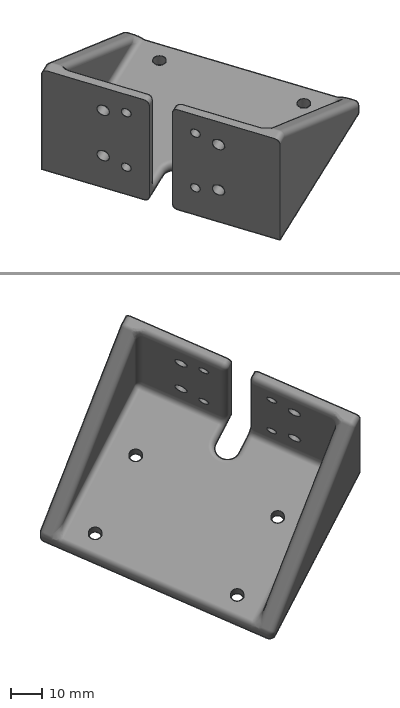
import cadquery as cq

length = 82.5
depth = 65.0
height = 44.0

plate = 4.0
side_wall = 6.0
edge_radius = 2.0
slot_lower_radius = 1.9

slot_width = 8.0
slot_centre_y = 11.55

large_hole = 4.3
small_hole = 3.4
floor_hole_x = 25.0
floor_hole_rows = (27.0, 57.0)
large_hole_x = 20.0
large_hole_rows = (14.0, 34.0)
small_hole_x = 12.0
small_hole_rows = (12.0, 36.0)

tolerance = 0.1
slot_half = slot_width / 2
inner_half = length / 2 - side_wall


def bracket_body():
    """Wedge with sloping sides, hollowed behind the front wall and above the floor."""
    wedge = (
        cq.Workplane("YZ", origin=(-length / 2, 0, 0))
        .polyline([(0, 0), (depth, 0), (depth, plate), (plate, height), (0, height)])
        .close()
        .extrude(length)
    )
    cavity = cq.Workplane("XY").box(
        2 * inner_half, depth, height, centered=(True, False, False)
    ).translate((0, plate, plate))
    return wedge.cut(cavity)


def cable_slot():
    """Round-ended slot through the front wall and the floor."""
    straight = cq.Workplane("XY").box(
        slot_width, slot_centre_y, height, centered=(True, False, False)
    )
    round_end = cq.Workplane("XY").center(0, slot_centre_y).circle(slot_half).extrude(height)
    return straight.union(round_end)


def hole_pairs(plane, x, rows, diameter, reach):
    """Mirrored pairs of holes, one pair on each row."""
    points = [(side * x, row) for side in (-1, 1) for row in rows]
    return cq.Workplane(plane).pushPoints(points).circle(diameter / 2).extrude(reach)


def is_rounded(edge):
    """True for edges off the flat front and base, except the tangent seams inside the slot."""
    middle = edge.Center()
    on_front = middle.y < tolerance
    on_base = middle.z < tolerance
    at_round_start = abs(middle.y - slot_centre_y) < tolerance
    on_slot_side = abs(abs(middle.x) - slot_half) < tolerance
    slot_seam = at_round_start and on_slot_side
    return not (on_front or on_base or slot_seam)


def slot_lower_rim(shape):
    """Edges of the slot where it opens through the base."""
    rim_region = cq.selectors.BoxSelector(
        (-slot_half - tolerance, -tolerance, -tolerance),
        (slot_half + tolerance, slot_centre_y + slot_width, tolerance),
    )
    return shape.edges(rim_region)


body = bracket_body().cut(cable_slot())
rounded_edges = body.edges().filter(is_rounded).sort(lambda edge: edge.Center().x)
body = rounded_edges.fillet(edge_radius)
body = slot_lower_rim(body).fillet(slot_lower_radius)

hole_reach = plate + edge_radius
floor_holes = hole_pairs("XY", floor_hole_x, floor_hole_rows, large_hole, hole_reach)
large_front_holes = hole_pairs("XZ", large_hole_x, large_hole_rows, large_hole, -hole_reach)
small_front_holes = hole_pairs("XZ", small_hole_x, small_hole_rows, small_hole, -hole_reach)

result = body.cut(floor_holes).cut(large_front_holes).cut(small_front_holes)